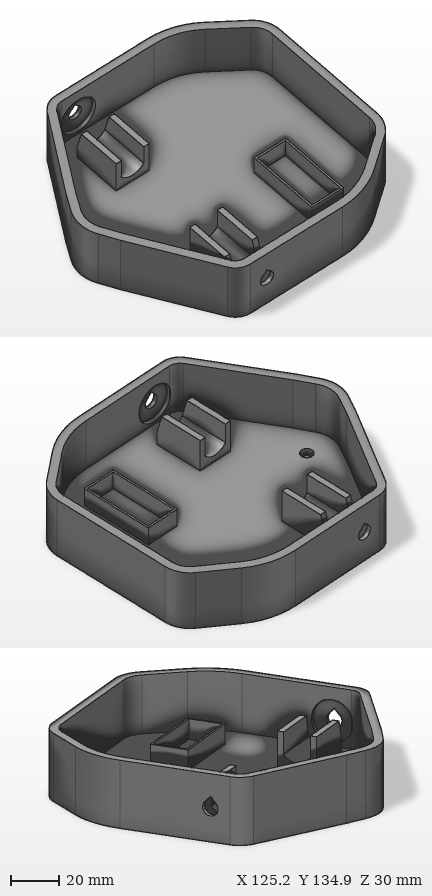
import cadquery as cq
import math

width = 125.2
length = 134.9
height = 30.0
wall = 4.0
floor = 4.0
side_x = width / 2
cavity_depth = height - floor

top_corner_x = 38.6
shoulder_y = 102.9
lower_corner_y = 33.9
kink_x, kink_y = 17.5, 7.0
tip_x, tip_y = 8.8, 2.3
top_radius = 15.0
shoulder_radius = 40.0
lower_radius = 10.0

screw_y = 18.2
screw_diameter = 6.0

box_x, box_y = 5.5, 89.8
box_length, box_width, box_height = 37.0, 17.1, 9.0
box_wall = 1.0

axis_y = 48.4
axis_z = height / 2
opening_radius = 3.5
recess_radius = 9.5
recess_depth = 2.0
cradle_inner_x = 23.6
cradle_length = 25.0
cradle_width = 18.0
cradle_height = 16.3
channel_width = 12.1
channel_radius = 7.5
bevel_length, bevel_height = 2.7, 9.6


def plug_body():
    """Solid plug outline with rounded corners and a rounded lower tip."""
    body = (
        cq.Workplane("XY")
        .moveTo(tip_x, tip_y)
        .lineTo(kink_x, kink_y)
        .lineTo(side_x, lower_corner_y)
        .lineTo(side_x, shoulder_y)
        .lineTo(top_corner_x, length)
        .lineTo(-top_corner_x, length)
        .lineTo(-side_x, shoulder_y)
        .lineTo(-side_x, lower_corner_y)
        .lineTo(-kink_x, kink_y)
        .lineTo(-tip_x, tip_y)
        .threePointArc((0, 0), (tip_x, tip_y))
        .close()
        .extrude(height)
    )
    corners = (
        (top_corner_x, length, top_radius),
        (side_x, shoulder_y, shoulder_radius),
        (side_x, lower_corner_y, lower_radius),
    )
    for x, y, radius in corners:
        for side in (-1, 1):
            corner = cq.selectors.NearestToPointSelector((side * x, y, height / 2))
            body = body.edges("|Z").edges(corner).fillet(radius)
    return body


def hollow(body):
    """Open the body from above, leaving the floor and an even wall."""
    rim = body.faces(">Z").wires().toPending()
    cavity = rim.workplane(origin=(0, 0, height)).offset2D(-wall).extrude(-cavity_depth, combine=False)
    return body.cut(cavity)


def fuse_box():
    outer = cq.Workplane("XY", origin=(box_x, box_y, floor)).rect(
        box_length, box_width, centered=False
    ).extrude(box_height)
    return outer.faces("|Z").shell(-box_wall)


def cradle():
    """Right-hand pin cradle: round-bottomed channel and bevelled outer end."""
    outer_x = cradle_inner_x + cradle_length
    top = floor + cradle_height
    block = (
        cq.Workplane("XZ", origin=(0, axis_y + cradle_width / 2, 0))
        .moveTo(cradle_inner_x, floor)
        .lineTo(outer_x, floor)
        .lineTo(outer_x, top - bevel_height)
        .lineTo(outer_x - bevel_length, top)
        .lineTo(cradle_inner_x, top)
        .close()
        .extrude(cradle_width)
    )
    half_channel = channel_width / 2
    spring_z = axis_z - math.sqrt(channel_radius**2 - half_channel**2)
    channel = (
        cq.Workplane("YZ", origin=(cradle_inner_x, axis_y, 0))
        .moveTo(-half_channel, top)
        .lineTo(-half_channel, spring_z)
        .threePointArc((0, axis_z - channel_radius), (half_channel, spring_z))
        .lineTo(half_channel, top)
        .close()
        .extrude(cradle_length)
    )
    return block.cut(channel)


def wall_opening():
    """Teardrop through the right wall with a round recess on its inner face."""
    plane = cq.Workplane("YZ", origin=(side_x - wall, axis_y, axis_z))
    tangent = opening_radius / math.sqrt(2)
    teardrop = (
        plane.moveTo(tangent, tangent)
        .lineTo(0, 2 * tangent)
        .lineTo(-tangent, tangent)
        .threePointArc((0, -opening_radius), (tangent, tangent))
        .close()
        .extrude(wall)
    )
    return teardrop.union(plane.circle(recess_radius).extrude(recess_depth))


result = hollow(plug_body()).union(fuse_box())
result = result.union(cradle()).union(cradle().mirror("YZ"))
result = result.cut(wall_opening()).cut(wall_opening().mirror("YZ"))
screw_hole = cq.Workplane("XY").center(0, screw_y).circle(screw_diameter / 2).extrude(floor)
result = result.cut(screw_hole)